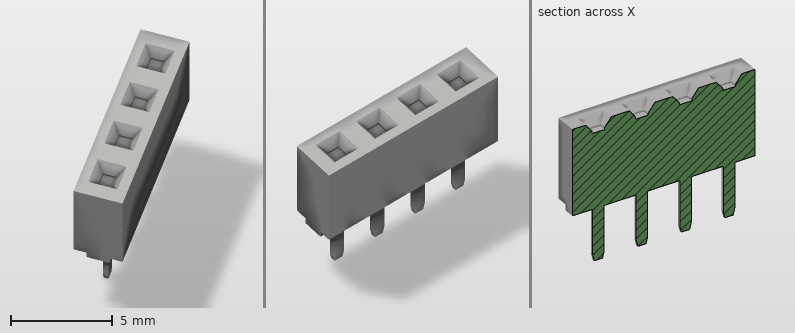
import cadquery as cq

pin_count = 4
pitch = 2.54
end_margin = 1.52

body_width = pitch
body_length = (pin_count - 1) * pitch + 2 * end_margin
body_top = 5.0

rail_width = 1.2
rail_height = 0.35

socket_mouth = 1.5
socket_throat = 0.7
funnel_depth = 0.5
throat_depth = 0.11

pin_thickness = 0.25
pin_width = 0.7
pin_length = 3.0
pin_tip_width = 0.5
pin_tip_length = 0.4

pin_positions = [(i - (pin_count - 1) / 2) * pitch for i in range(pin_count)]


def make_body():
    """Rectangular housing standing on a narrower full-length rail."""
    housing = (
        cq.Workplane("XY")
        .workplane(offset=rail_height)
        .rect(body_width, body_length)
        .extrude(body_top - rail_height)
    )
    rail = cq.Workplane("XY").rect(rail_width, body_length).extrude(rail_height)
    return housing.union(rail)


def make_socket(y):
    """Cutter for one entry: a square funnel leading into a short straight throat."""
    funnel = (
        cq.Workplane("XY", origin=(0, y, body_top))
        .rect(socket_mouth, socket_mouth)
        .workplane(offset=-funnel_depth)
        .rect(socket_throat, socket_throat)
        .loft(ruled=True)
    )
    throat = (
        cq.Workplane("XY", origin=(0, y, body_top - funnel_depth))
        .rect(socket_throat, socket_throat)
        .extrude(-throat_depth)
    )
    return funnel.union(throat)


def make_pin(y):
    """Flat solder tail whose end narrows across its width."""
    half_width = pin_width / 2
    half_tip = pin_tip_width / 2
    taper_start = pin_tip_length - pin_length
    outline = [
        (y - half_width, 0),
        (y - half_width, taper_start),
        (y - half_tip, -pin_length),
        (y + half_tip, -pin_length),
        (y + half_width, taper_start),
        (y + half_width, 0),
    ]
    return cq.Workplane("YZ").polyline(outline).close().extrude(pin_thickness / 2, both=True)


result = make_body()
for pin_y in pin_positions:
    result = result.cut(make_socket(pin_y))
    result = result.union(make_pin(pin_y))